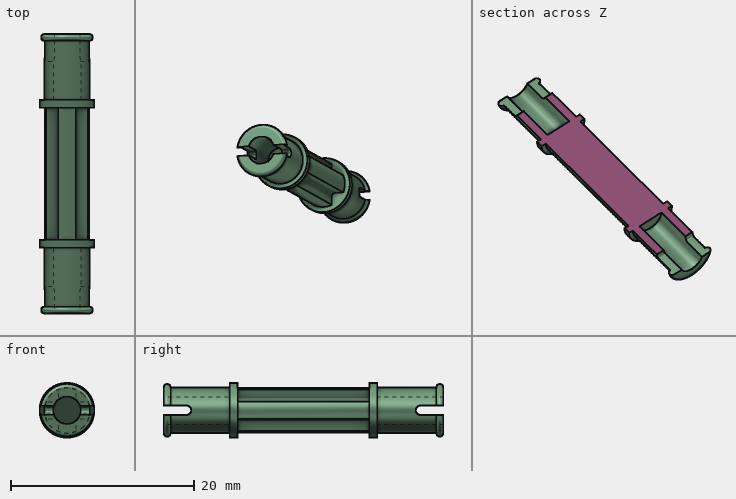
import cadquery as cq

length = 30.53
half_length = length / 2

pin_radius = 2.5
bore_radius = 1.5
bore_depth = 7.2
lip_round = 0.38
slot_width = 1.0
slot_depth = 3.0

collar_radius = 3.0
collar_thickness = 0.86
collar_offset = 7.2

axle_radius = 2.45
arm_width = 1.9
arm_root_fillet = 0.4

collar_outer_y = half_length - collar_offset
collar_inner_y = collar_outer_y - collar_thickness


def make_end():
    """Revolve one pin end, with its collar and rounded lip, about the Y axis (+Y end)."""
    lip_middle_y = half_length - lip_round
    lip_base_y = half_length - 2 * lip_round
    profile = (
        cq.Workplane("XY")
        .moveTo(0, collar_inner_y)
        .lineTo(collar_radius, collar_inner_y)
        .lineTo(collar_radius, collar_outer_y)
        .lineTo(pin_radius, collar_outer_y)
        .lineTo(pin_radius, lip_base_y)
        .radiusArc((pin_radius + lip_round, lip_middle_y), -lip_round)
        .radiusArc((pin_radius, half_length), -lip_round)
        .lineTo(0, half_length)
        .close()
    )
    end = profile.revolve(360, (0, 0, 0), (0, 1, 0))
    return end.cut(make_bore()).cut(make_slot())


def make_bore():
    """Blind round bore from the pin tip."""
    return (
        cq.Workplane("XZ", origin=(0, half_length, 0))
        .circle(bore_radius)
        .extrude(bore_depth)
    )


def make_slot():
    """Round-ended slot across the pin along X, open at the tip."""
    half_width = slot_width / 2
    bottom_y = half_length - slot_depth
    straight_y = bottom_y + half_width
    return (
        cq.Workplane("YZ")
        .moveTo(half_length, -half_width)
        .lineTo(straight_y, -half_width)
        .radiusArc((bottom_y, 0), half_width)
        .radiusArc((straight_y, half_width), half_width)
        .lineTo(half_length, half_width)
        .close()
        .extrude(collar_radius, both=True)
    )


def make_axle():
    """Cross-shaped bar with rounded arm tips and filleted inner corners."""
    bar_length = 2 * collar_inner_y
    arm_span = 2 * axle_radius
    cross = cq.Workplane("XZ").rect(arm_span, arm_width).extrude(bar_length / 2, both=True)
    upright = cq.Workplane("XZ").rect(arm_width, arm_span).extrude(bar_length / 2, both=True)
    cross = cross.union(upright)
    root_zone = cq.selectors.BoxSelector(
        (-arm_width, -bar_length, -arm_width),
        (arm_width, bar_length, arm_width),
    )
    cross = cross.edges("|Y").edges(root_zone).fillet(arm_root_fillet)
    envelope = cq.Workplane("XZ").circle(axle_radius).extrude(bar_length / 2, both=True)
    return cross.intersect(envelope)


end = make_end()
result = make_axle().union(end).union(end.mirror("XZ"))